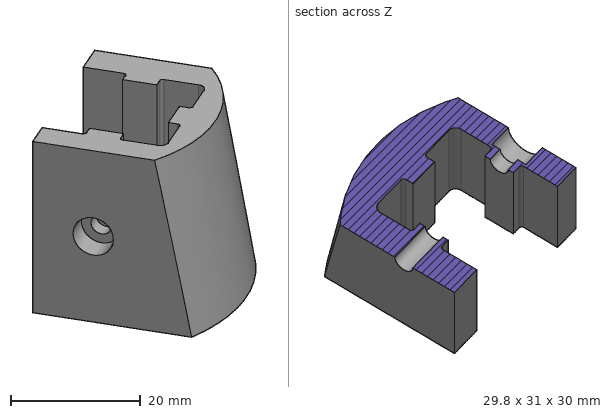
import cadquery as cq

length = 29.75
width = 31.0
height = 30.0

channel_width = 20.52
channel_depth = 20.0
corner_radius = 1.3
front_wall = 4.75
front_y = -channel_width / 2 - front_wall

rib_width = 5.52
rib_height = 1.98
rib_root_radius = 0.5
side_rib_x = 9.8

nose_base_radius = 30.0
nose_top_radius = 25.0
nose_axis_x = length - nose_base_radius

hole_diameter = 3.4
counterbore_diameter = 6.5
counterbore_depth = 4.2


def box(x_start, x_end, y_start, y_end):
    """Full-height box between the given X and Y limits."""
    return (
        cq.Workplane("XY")
        .box(x_end - x_start, y_end - y_start, height, centered=False)
        .translate((x_start, y_start, 0))
    )


def make_block():
    """Rectangular block with its +X end trimmed to the cone."""
    nose_axis_base = cq.Vector(nose_axis_x, 0, 0)
    cone = cq.Workplane(cq.Solid.makeCone(nose_base_radius, nose_top_radius, height, pnt=nose_axis_base))
    return box(0, length, front_y, front_y + width).intersect(cone)


def make_channel():
    """Channel void, with the three ribs left standing and their roots rounded."""
    half_width = channel_width / 2
    half_rib = rib_width / 2
    void = box(0, channel_depth, -half_width, half_width)
    void = void.edges("|Z and >X").fillet(corner_radius)

    rib_x_start = side_rib_x - half_rib
    rib_x_end = side_rib_x + half_rib
    root_points = []
    for side in (-1, 1):
        wall_y = side * half_width
        y_limits = sorted((wall_y, wall_y - side * rib_height))
        void = void.cut(box(rib_x_start, rib_x_end, *y_limits))
        root_points += [(rib_x_start, wall_y), (rib_x_end, wall_y)]
        root_points.append((channel_depth, side * half_rib))
    void = void.cut(box(channel_depth - rib_height, channel_depth, -half_rib, half_rib))

    root_edges = cq.Workplane()
    for x, y in root_points:
        root_edges.add(void.edges(cq.selectors.NearestToPointSelector((x, y, height / 2))))
    return cq.Workplane(void.val().fillet(rib_root_radius, root_edges.vals()))


def make_hole():
    """Screw hole through both walls, counterbored from the -Y side."""
    outside = cq.Workplane("XZ", origin=(side_rib_x, front_y, height / 2))
    bore = outside.circle(hole_diameter / 2).extrude(-width)
    counterbore = outside.circle(counterbore_diameter / 2).extrude(-counterbore_depth)
    return bore.union(counterbore)


result = make_block().cut(make_channel()).cut(make_hole())